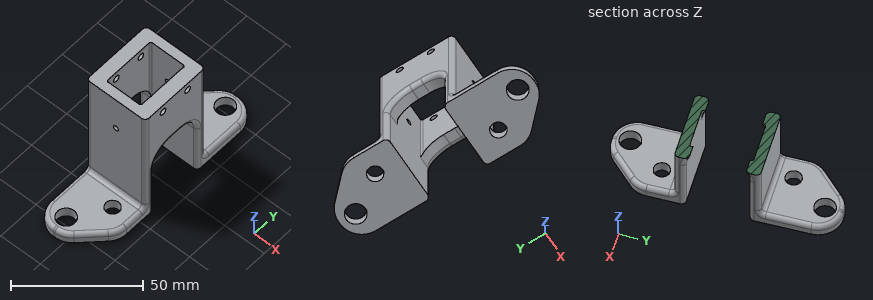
import cadquery as cq

WIDTH = 30.0
LENGTH = 94.0
HEIGHT = 60.0

TOWER_DEPTH = 34.0
FOOT_THICKNESS = 5.0
ROOT_RADIUS = 2.0
EDGE_RADIUS = 2.0
FOOT_CHAMFER = 15.0
FOOT_CORNER_RADIUS = 10.0

ARCH_WIDTH = 25.0
ARCH_HEIGHT = 35.0
ARCH_RADIUS = 10.0

BORE_X = 17.3
BORE_Y = 25.0
BORE_CORNER_RADIUS = 0.8

SMALL_FOOT_HOLE_DIAMETER = 6.5
SMALL_FOOT_HOLE = (5.0, -24.5)
LARGE_FOOT_HOLE_DIAMETER = 8.5
LARGE_FOOT_HOLE = (-5.0, -39.7)
SIDE_HOLE_DIAMETER = 3.1
SIDE_HOLE_SPACING = 14.0
SIDE_HOLE_BELOW_TOP = 4.0
FRONT_HOLE_DIAMETER = 2.5
FRONT_HOLE_HEIGHT = 42.5

HALF_WIDTH = WIDTH / 2
HALF_LENGTH = LENGTH / 2
HALF_DEPTH = TOWER_DEPTH / 2


def make_profile():
    """Inverted T in the YZ plane, extruded over the full width."""
    root_edges = cq.selectors.BoxSelector(
        (-WIDTH, -HALF_DEPTH - ROOT_RADIUS, FOOT_THICKNESS - ROOT_RADIUS),
        (WIDTH, HALF_DEPTH + ROOT_RADIUS, FOOT_THICKNESS + ROOT_RADIUS),
    )
    feet = cq.Workplane("XY").box(WIDTH, LENGTH, FOOT_THICKNESS, centered=(True, True, False))
    tower = cq.Workplane("XY").box(WIDTH, TOWER_DEPTH, HEIGHT, centered=(True, True, False))
    return feet.union(tower).edges("|X").edges(root_edges).fillet(ROOT_RADIUS)


def make_plan():
    """Prism of the plan outline: a rectangle with two opposite corners cut, all corners rounded."""
    outline = [
        (-HALF_WIDTH, -HALF_LENGTH),
        (HALF_WIDTH - FOOT_CHAMFER, -HALF_LENGTH),
        (HALF_WIDTH, -HALF_LENGTH + FOOT_CHAMFER),
        (HALF_WIDTH, HALF_LENGTH),
        (-HALF_WIDTH + FOOT_CHAMFER, HALF_LENGTH),
        (-HALF_WIDTH, HALF_LENGTH - FOOT_CHAMFER),
    ]
    prism = cq.Workplane("XY").polyline(outline).close().extrude(HEIGHT)
    return prism.edges("|Z").fillet(FOOT_CORNER_RADIUS)


def is_outer_edge(edge):
    """True for the foot rims and tower corners, false for base, top and blend boundary edges."""
    center = edge.Center()
    box = edge.BoundingBox()
    above_base = center.z > FOOT_THICKNESS - EDGE_RADIUS / 2
    below_top = box.zmin < HEIGHT - EDGE_RADIUS
    blend_limit = HALF_DEPTH + 2 * ROOT_RADIUS
    across_root = abs(center.x) < EDGE_RADIUS and abs(center.y) < blend_limit
    return above_base and below_top and not across_root


def make_body():
    body = make_profile().intersect(make_plan())
    outer_edges = body.edges().filter(is_outer_edge)
    return outer_edges.fillet(EDGE_RADIUS)


def cut_arch(body):
    """Passage with a rounded roof, with its mouths rounded on both sides."""
    passage = cq.Workplane("XY").box(WIDTH, ARCH_WIDTH, ARCH_HEIGHT, centered=(True, True, False))
    passage = passage.edges("|X and >Z").fillet(ARCH_RADIUS)
    mouth_box = cq.selectors.BoxSelector(
        (-WIDTH, -ARCH_WIDTH / 2 - EDGE_RADIUS / 2, EDGE_RADIUS),
        (WIDTH, ARCH_WIDTH / 2 + EDGE_RADIUS / 2, ARCH_HEIGHT + EDGE_RADIUS),
    )
    opened = body.cut(passage)
    return opened.faces("<X or >X").edges(mouth_box).fillet(EDGE_RADIUS)


def cut_bore(body):
    bore = cq.Workplane("XY").rect(BORE_X, BORE_Y).extrude(HEIGHT)
    return body.cut(bore.edges("|Z").fillet(BORE_CORNER_RADIUS))


def cut_foot_holes(body):
    holes = ((SMALL_FOOT_HOLE, SMALL_FOOT_HOLE_DIAMETER), (LARGE_FOOT_HOLE, LARGE_FOOT_HOLE_DIAMETER))
    for (x, y), diameter in holes:
        drills = cq.Workplane("XY").pushPoints([(x, y), (-x, -y)])
        body = body.cut(drills.circle(diameter / 2).extrude(FOOT_THICKNESS))
    return body


def cut_tower_holes(body):
    """A pair of holes through both side walls and one hole through both end walls."""
    side_z = HEIGHT - SIDE_HOLE_BELOW_TOP
    side_points = [(-SIDE_HOLE_SPACING / 2, side_z), (SIDE_HOLE_SPACING / 2, side_z)]
    side_drills = cq.Workplane("YZ").pushPoints(side_points).circle(SIDE_HOLE_DIAMETER / 2)
    body = body.cut(side_drills.extrude(HALF_WIDTH, both=True))
    front_drill = cq.Workplane("XZ").center(0, FRONT_HOLE_HEIGHT).circle(FRONT_HOLE_DIAMETER / 2)
    return body.cut(front_drill.extrude(HALF_DEPTH, both=True))


part = cut_arch(make_body())
part = cut_bore(part)
part = cut_foot_holes(part)
result = cut_tower_holes(part)